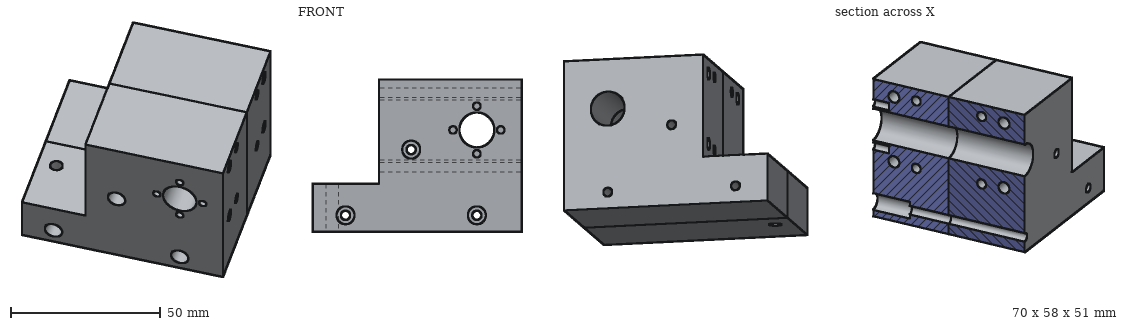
import cadquery as cq

length = 70.0
width = 58.0
height = 51.0
half_width = width / 2
ledge_length = 22.1
ledge_height = 16.1

bolt_pitch = 22.0
first_bolt_x = 11.0
first_bolt_z = 5.5
bolt_points = [
    (first_bolt_x, first_bolt_z),
    (first_bolt_x + bolt_pitch, first_bolt_z + bolt_pitch),
    (first_bolt_x + 2 * bolt_pitch, first_bolt_z),
]
bolt_diameter = 3.0
bolt_head_diameter = 6.0
bolt_head_depth = 14.0

bore_diameter = 11.6
bore_x = first_bolt_x + 2 * bolt_pitch
bore_z = 34.1
ring_radius = 8.0
ring_hole_count = 4
ring_hole_diameter = 2.5
ring_hole_depth = 6.0

large_hole_diameter = 4.0
large_hole_inset = 8.0
large_hole_spacing = 24.0
small_hole_diameter = 3.2
small_hole_inset = 16.5
small_hole_spacing = 25.0

ledge_hole_diameter = 4.2
ledge_hole_x = 6.5
ledge_hole_y = 19.25


def holes_along_y(points, diameter, depth):
    """Cylinders entering the front face (Y = 0) at the given (x, z) points."""
    return (
        cq.Workplane("XZ")
        .pushPoints(points)
        .circle(diameter / 2)
        .extrude(-depth)
    )


def holes_along_x(y, spacing, diameter):
    """A pair of full-length cylinders, one above the other."""
    points = [(y, bore_z - spacing / 2), (y, bore_z + spacing / 2)]
    return cq.Workplane("YZ").pushPoints(points).circle(diameter / 2).extrude(length)


def make_half_block(start_y):
    """L-shaped half with the bore and the bolt holes passing through it."""
    block = (
        cq.Workplane("XZ", origin=(0, start_y, 0))
        .moveTo(0, 0)
        .lineTo(length, 0)
        .lineTo(length, height)
        .lineTo(ledge_length, height)
        .lineTo(ledge_length, ledge_height)
        .lineTo(0, ledge_height)
        .close()
        .extrude(-half_width)
    )
    block = block.cut(holes_along_y(bolt_points, bolt_diameter, width))
    return block.cut(holes_along_y([(bore_x, bore_z)], bore_diameter, width))


def make_front_half():
    """Front half with bolt head recesses, ring holes and the ledge hole."""
    half = make_half_block(0)
    half = half.cut(holes_along_x(large_hole_inset, large_hole_spacing, large_hole_diameter))
    half = half.cut(holes_along_x(small_hole_inset, small_hole_spacing, small_hole_diameter))
    half = half.cut(holes_along_y(bolt_points, bolt_head_diameter, bolt_head_depth))

    ring_holes = (
        cq.Workplane("XZ", origin=(bore_x, 0, bore_z))
        .polarArray(ring_radius, 0, 360, ring_hole_count)
        .circle(ring_hole_diameter / 2)
        .extrude(-ring_hole_depth)
    )
    half = half.cut(ring_holes)

    ledge_hole = (
        cq.Workplane("XY")
        .center(ledge_hole_x, ledge_hole_y)
        .circle(ledge_hole_diameter / 2)
        .extrude(ledge_height)
    )
    return half.cut(ledge_hole)


def make_rear_half():
    """Rear half with the mounting holes mirrored about the middle plane."""
    half = make_half_block(half_width)
    half = half.cut(
        holes_along_x(width - large_hole_inset, large_hole_spacing, large_hole_diameter)
    )
    return half.cut(
        holes_along_x(width - small_hole_inset, small_hole_spacing, small_hole_diameter)
    )


front_half = make_front_half()
rear_half = make_rear_half()

result = cq.Compound.makeCompound([front_half.val(), rear_half.val()])